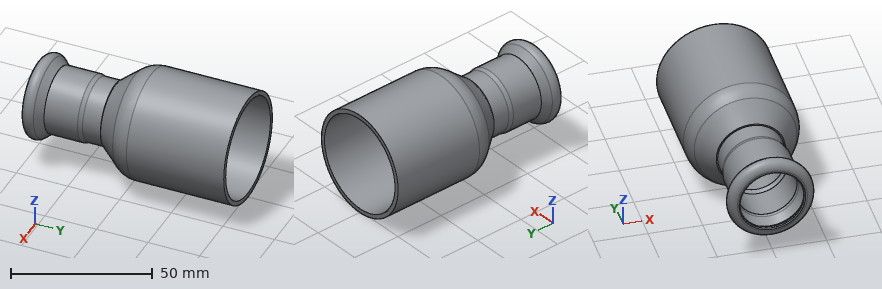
import cadquery as cq
import math

length = 81.5
body_radius = 20.99
neck_radius = 12.15
socket_radius = 12.6
bead_radius = 15.8
mouth_radius = 12.8
wall = 1.7

bead_top = 5.2
socket_start = 8.15
socket_end = 21.1
neck_start = 22.8
cone_start = 30.0
body_start = 43.85

cone_angle = math.radians(39.0)
shoulder_radius = 10.1
bead_shoulder_radius = 15.15

lip_outer_radius = 12.15
lip_inner_radius = 11.7
lip_chamfer_depth = 0.4
lip_depth = 1.2
recess_radius = 13.0
recess_peak = 3.5
recess_end_radius = 11.4
recess_end = 7.2
socket_bore_radius = 11.1
neck_bore_radius = neck_radius - wall


def shoulder_point(turn, radius):
    """Point on an arc concentric with the body shoulder, at an angle from the radial direction."""
    center_radius = body_radius - shoulder_radius
    return (center_radius + radius * math.cos(turn), body_start - radius * math.sin(turn))


def cone_radius_at(station, tangent_point):
    """Radius of the cone line through tangent_point at an axial station."""
    return tangent_point[0] - (tangent_point[1] - station) * math.tan(cone_angle)


outer_tangent = shoulder_point(cone_angle, shoulder_radius)
outer_foot_radius = cone_radius_at(cone_start, outer_tangent)

inner_shoulder_radius = shoulder_radius - wall
inner_tangent = shoulder_point(cone_angle, inner_shoulder_radius)
inner_foot = inner_tangent[1] - (inner_tangent[0] - neck_bore_radius) / math.tan(cone_angle)

section = (
    cq.Workplane("XY")
    .moveTo(mouth_radius, 0)
    .threePointArc((bead_radius, bead_top / 2), (bead_shoulder_radius, bead_top))
    .lineTo(socket_radius, socket_start)
    .lineTo(socket_radius, socket_end)
    .lineTo(neck_radius, neck_start)
    .lineTo(neck_radius, cone_start)
    .lineTo(outer_foot_radius, cone_start)
    .lineTo(*outer_tangent)
    .threePointArc(shoulder_point(cone_angle / 2, shoulder_radius), (body_radius, body_start))
    .lineTo(body_radius, length)
    .lineTo(body_radius - wall, length)
    .lineTo(body_radius - wall, body_start)
    .threePointArc(shoulder_point(cone_angle / 2, inner_shoulder_radius), inner_tangent)
    .lineTo(neck_bore_radius, inner_foot)
    .lineTo(neck_bore_radius, neck_start)
    .lineTo(socket_bore_radius, socket_end)
    .lineTo(socket_bore_radius, socket_start)
    .lineTo(recess_end_radius, recess_end)
    .lineTo(recess_radius, recess_peak)
    .lineTo(lip_inner_radius, lip_depth)
    .lineTo(lip_inner_radius, lip_chamfer_depth)
    .lineTo(lip_outer_radius, 0)
    .close()
)

result = section.revolve(360, (0, 0, 0), (0, 1, 0)).translate((0, -length / 2, 0))